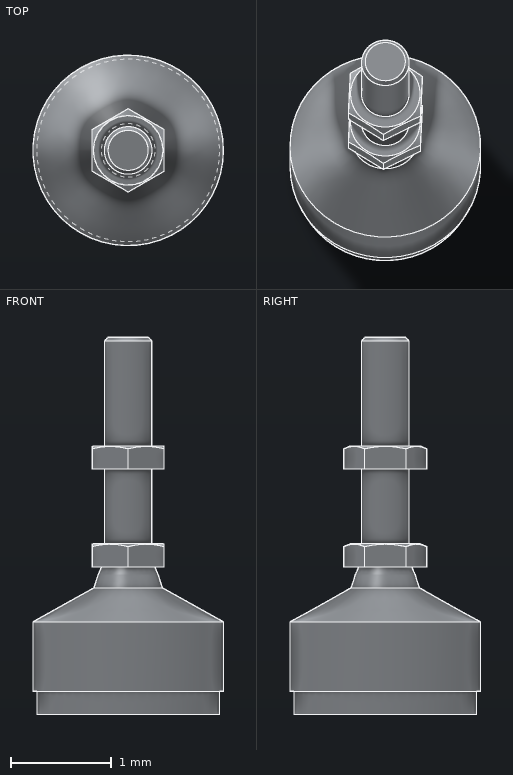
import cadquery as cq
import math

foot_diameter = 1.89
foot_radius = foot_diameter / 2
pad_radius = 0.905
pad_height = 0.232
shoulder_bottom = 0.92
foot_height = 1.255

overall_height = 3.74
flare_base_radius = 0.34
flare_middle_radius = 0.3
flare_middle_height = 1.385
flare_top_radius = 0.265
shank_radius = 0.235
tip_chamfer = 0.037

hex_across_flats = 0.715
hex_corner_radius = hex_across_flats / math.sqrt(3)
hex_thickness = 0.232
hex_top_circle_radius = 0.345
hex_corner_drop = 0.03
lower_hex_bottom = 1.462
upper_hex_bottom = 2.43


def revolve_profile(points):
    """Revolve a closed (radius, height) outline about the Z axis."""
    return cq.Workplane("XZ").polyline(points).close().revolve(360, (0, 0), (0, 1))


def make_foot():
    return revolve_profile([
        (0, 0),
        (pad_radius, 0),
        (pad_radius, pad_height),
        (foot_radius, pad_height),
        (foot_radius, shoulder_bottom),
        (flare_base_radius, foot_height),
        (0, foot_height),
    ])


def make_hexagon(bottom):
    """Hexagonal prism with its top corners turned down to a shallow cone."""
    top = bottom + hex_thickness
    prism = (
        cq.Workplane("XY", origin=(0, 0, bottom))
        .polygon(6, 2 * hex_corner_radius)
        .extrude(hex_thickness)
        .rotate((0, 0, 0), (0, 0, 1), 30)
    )
    turned_blank = revolve_profile([
        (0, bottom),
        (hex_corner_radius, bottom),
        (hex_corner_radius, top - hex_corner_drop),
        (hex_top_circle_radius, top),
        (0, top),
    ])
    return prism.intersect(turned_blank)


def make_stud():
    """Stud with both hexagons, standing on the flat top of the foot."""
    stud = revolve_profile([
        (0, foot_height),
        (flare_base_radius, foot_height),
        (flare_middle_radius, flare_middle_height),
        (flare_top_radius, lower_hex_bottom),
        (shank_radius, lower_hex_bottom),
        (shank_radius, overall_height - tip_chamfer),
        (shank_radius - tip_chamfer, overall_height),
        (0, overall_height),
    ])
    for bottom in (lower_hex_bottom, upper_hex_bottom):
        stud = stud.union(make_hexagon(bottom))
    return stud


foot = make_foot()
stud = make_stud()

result = cq.Compound.makeCompound([foot.val(), *stud.solids().vals()])